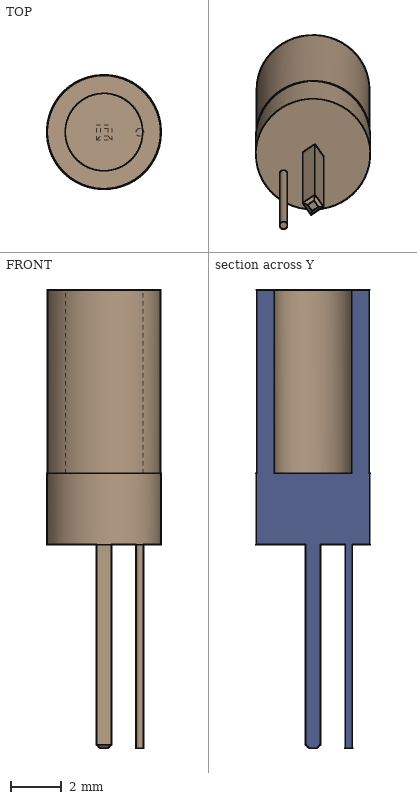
import cadquery as cq

total_height = 18.0
pin_length = 8.0
base_height = 2.8
base_top = pin_length + base_height

base_diameter = 4.5
sleeve_diameter = 4.45
bore_diameter = 3.05

square_pin_width = 0.6
square_pin_tip_chamfer = 0.15
round_pin_diameter = 0.3
round_pin_offset = 1.4


def cylinder(diameter, bottom, top):
    """Vertical cylinder on the Z axis between two levels."""
    return cq.Workplane("XY").workplane(offset=bottom).circle(diameter / 2).extrude(top - bottom)


def make_body():
    """Solid base carrying a slightly narrower open sleeve."""
    base = cylinder(base_diameter, pin_length, base_top)
    sleeve = cylinder(sleeve_diameter, base_top, total_height)
    bore = cylinder(bore_diameter, base_top, total_height)
    return base.union(sleeve.cut(bore))


def make_square_pin():
    """Central square pin with a chamfered tip."""
    pin = cq.Workplane("XY").rect(square_pin_width, square_pin_width).extrude(pin_length)
    return pin.faces("<Z").chamfer(square_pin_tip_chamfer)


def make_round_pin():
    """Thin round pin beside the square one."""
    return cylinder(round_pin_diameter, 0, pin_length).translate((round_pin_offset, 0, 0))


result = make_body().union(make_square_pin()).union(make_round_pin())